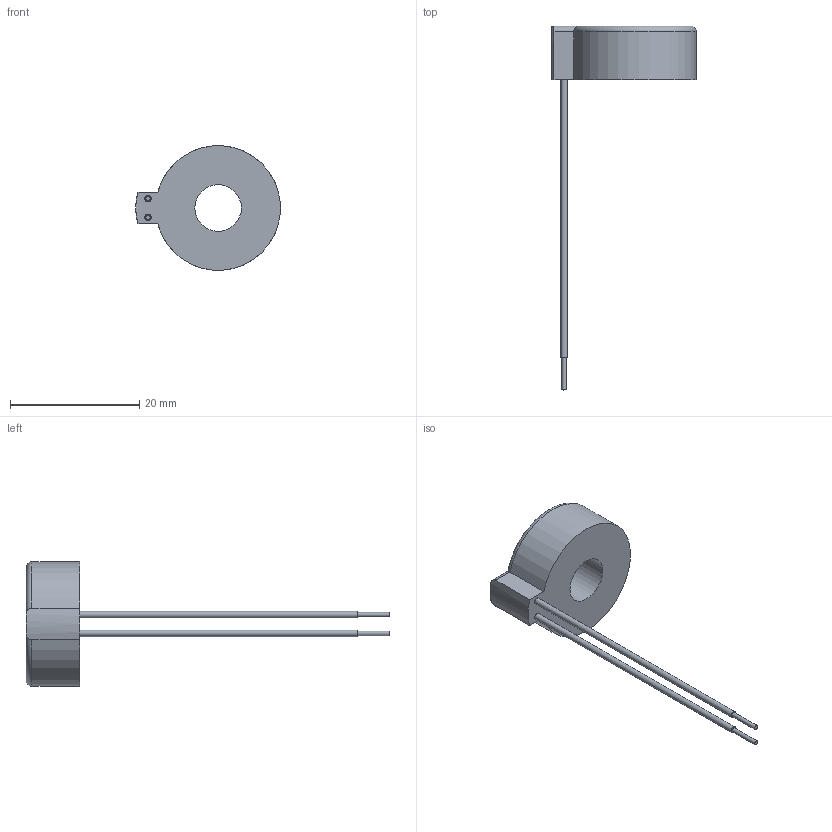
import cadquery as cq

ring_radius = 9.65
bore_diameter = 7.2
body_depth = 8.3
back_fillet = 0.9

tab_reach = 12.75
tab_height = 4.9
tab_end_bulge = 0.35

lead_x = -10.85
lead_spacing = 2.9
insulation_diameter = 1.0
insulation_length = 43.0
conductor_diameter = 0.7
stripped_length = 5.0


def along_depth(plane_y=0.0):
    """Sketch plane at the given Y, facing -Y, with local axes X and Z."""
    return cq.Workplane("XZ", origin=(0, plane_y, 0))


def make_ring():
    """Disc with its rear rim rounded."""
    disc = along_depth().circle(ring_radius).extrude(-body_depth)
    return disc.faces(">Y").edges().fillet(back_fillet)


def make_tab():
    """Tab from the ring centre to the bulged end, rear long edges rounded."""
    half_height = tab_height / 2
    corner_x = tab_end_bulge - tab_reach
    tab = (
        along_depth()
        .moveTo(0, half_height)
        .lineTo(corner_x, half_height)
        .threePointArc((-tab_reach, 0), (corner_x, -half_height))
        .lineTo(0, -half_height)
        .close()
        .extrude(-body_depth)
    )
    return tab.faces(">Y").edges("|X").fillet(back_fillet)


def make_bore():
    """Through hole for the primary conductor."""
    return along_depth().circle(bore_diameter / 2).extrude(-body_depth)


def make_lead(lead_z):
    """Insulated wire with a bare conductor at its free end."""
    insulation = (
        along_depth()
        .center(lead_x, lead_z)
        .circle(insulation_diameter / 2)
        .extrude(insulation_length)
    )
    conductor = (
        along_depth(-insulation_length)
        .center(lead_x, lead_z)
        .circle(conductor_diameter / 2)
        .extrude(stripped_length)
    )
    return insulation.union(conductor)


result = make_ring().union(make_tab()).cut(make_bore())
for side in (-1, 1):
    result = result.union(make_lead(side * lead_spacing / 2))